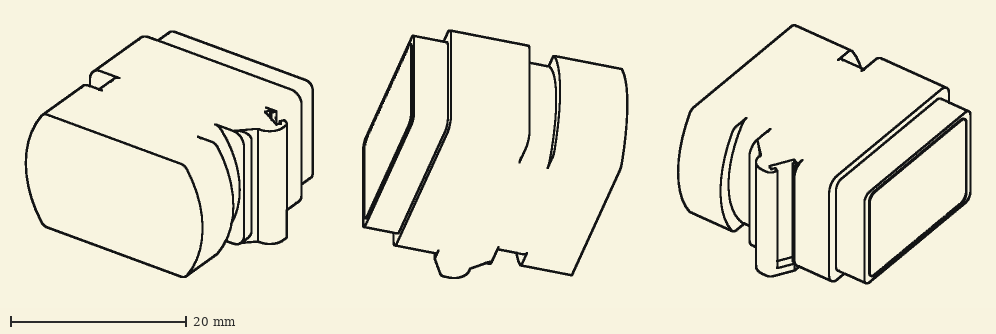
import cadquery as cq
import math

thickness = 15.0

plate_diameter = 24.82
plate_radius = plate_diameter / 2
plate_centre_x = plate_radius
round_edge = 1.0

groove_depth = 1.55
core_radius = plate_radius - groove_depth
left_groove_start = 8.02
left_groove_end = 11.4
right_groove_start = 6.03
right_groove_end = 9.43

body_left = 0.85
body_width = 23.02
body_right = body_left + body_width
body_centre_x = body_left + body_width / 2
body_back = 20.74
body_corner = 1.51

block_width = 20.4
block_height = 13.05
block_back = 24.75
panel_width = 18.58
panel_height = 12.0
panel_back = 24.85

latch_tip_x = 26.55
latch_base_x = body_right - body_corner
latch_top_y = 15.82
latch_bottom_y = 11.45
latch_slope = math.radians(30)
latch_nose_radius = 1.8
latch_tip_radius = 0.75
latch_relief_x = latch_base_x + latch_bottom_y - right_groove_end

slot_mouth_width = 2.12
slot_lip = 0.48
slot_mouth_depth = 0.6
slot_depth = 1.22
slot_floor = 1.0


def extrude_between(sketch, y_front, y_back):
    """Extrude a sketch on the XZ plane from y_front back to y_back."""
    return sketch.extrude(y_front - y_back).translate((0, y_front, 0))


def flattened_disc(radius, y_front, y_back):
    """Disc cut flat at the top and bottom, with the four edges this leaves rounded."""
    disc = extrude_between(cq.Workplane("XZ").circle(radius), y_front, y_back)
    slab = extrude_between(cq.Workplane("XZ").rect(2 * plate_diameter, thickness), y_front, y_back)
    return disc.intersect(slab).edges("|Y").fillet(round_edge).translate((plate_centre_x, 0, 0))


def rounded_block(width, height, corner, y_front, y_back):
    """Rectangular block with its four long edges rounded, centred on the body."""
    block = extrude_between(cq.Workplane("XZ").rect(width, height), y_front, y_back)
    return block.edges("|Y").fillet(corner).translate((body_centre_x, 0, 0))


def one_side(solid, is_left):
    """Keep only the part of a solid to the left or right of the plate centre."""
    direction = -1 if is_left else 1
    keep = cq.Workplane("XY").box(plate_diameter, 2 * panel_back, 2 * thickness)
    return solid.intersect(keep.translate((plate_centre_x + direction * plate_radius, 0, 0)))


def latch():
    """Hooked nose with a sloping face, running over the full thickness."""
    tip_y = latch_top_y - (latch_tip_x - body_right) * math.tan(latch_slope)
    nose = (
        cq.Workplane("XY")
        .workplane(offset=-thickness / 2)
        .moveTo(latch_base_x, right_groove_end)
        .lineTo(latch_relief_x, latch_bottom_y)
        .lineTo(latch_tip_x, latch_bottom_y)
        .lineTo(latch_tip_x, tip_y)
        .lineTo(body_right, latch_top_y)
        .lineTo(latch_base_x, latch_top_y)
        .close()
        .extrude(thickness)
    )
    lower_corner = cq.selectors.NearestToPointSelector((latch_tip_x, latch_bottom_y, 0))
    upper_corner = cq.selectors.NearestToPointSelector((latch_tip_x, tip_y, 0))
    return nose.edges(lower_corner).fillet(latch_nose_radius).edges(upper_corner).fillet(latch_tip_radius)


def latch_slot():
    """T-shaped slot, drawn along the sloping face and then turned onto it."""
    return (
        cq.Workplane("XY")
        .workplane(offset=slot_floor - thickness / 2)
        .polyline([
            (0, 0),
            (0, -slot_mouth_depth),
            (-slot_lip, -slot_mouth_depth),
            (-slot_lip, -slot_depth),
            (slot_mouth_width + slot_lip, -slot_depth),
            (slot_mouth_width + slot_lip, -slot_mouth_depth),
            (slot_mouth_width, -slot_mouth_depth),
            (slot_mouth_width, 0),
        ])
        .close()
        .extrude(thickness)
        .rotate((0, 0, 0), (0, 0, 1), -math.degrees(latch_slope))
        .translate((body_right, latch_top_y, 0))
    )


result = flattened_disc(core_radius, 0, left_groove_end)
for is_left, groove_start, groove_end in [
    (True, left_groove_start, left_groove_end),
    (False, right_groove_start, right_groove_end),
]:
    plate = flattened_disc(plate_radius, 0, groove_start)
    body = rounded_block(body_width, thickness, body_corner, groove_end, body_back)
    result = result.union(one_side(plate, is_left))
    result = result.union(one_side(body, is_left))

result = result.union(rounded_block(block_width, block_height, round_edge, body_back, block_back))
result = result.union(rounded_block(panel_width, panel_height, round_edge, block_back, panel_back))
result = result.union(latch()).cut(latch_slot())